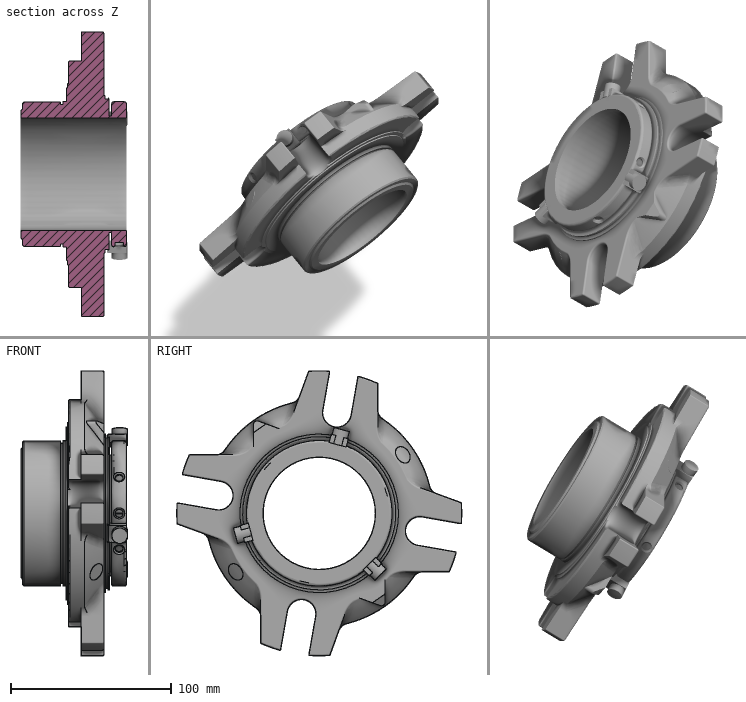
import cadquery as cq
import math


bore_dia = 69.9
sleeve_dia = 73.0
nose_tip_dia = 79.6
nose_base_dia = 82.1
spigot_dia = 90.5
spigot_groove_dia = 87.5
spigot_root_dia = 90.8
nose_length = 1.0
spigot_chamfer = 0.9
groove_start_x = 24.9
groove_end_x = 26.3

gasket_dia = 108.0
gasket_x = 28.3
gasket_rim_dia = 113.5
gasket_rim_x = 29.0

flange_dia = 141.9
flange_x = 29.7
flange_edge_radius = 1.0
cone_start_x = 39.8
gland_back_x = 52.0

back_step_dia = 98.8
back_step_x = 52.8
hub_dia = 94.0
snap_ring_dia = 95.5
snap_ring_x = 54.4
snap_ring_end_x = 55.3

lug_front_x = 37.7
lug_tip_radius = 88.9
lug_side_taper = 10.0
lug_half_width = 24.9
lug_width_radius = 69.3
lug_inner_radius = 48.9
lug_edge_radius = 1.0
lug_corner_radius = 0.7
lug_root_radius = 6.4
slot_width = 17.8
slot_bottom_radius = 54.8
slot_angles = [80, 170, 260, 350]

plug_x = 47.1
plug_dia = 11.2
plug_angles = [35, 215]
plug_depth = 3.5

boss_angles = [125, 305]
boss_nose_centre = 67.5
boss_nose_radius = 2.3
boss_half_angle = 35.0
boss_base_radius = 56.9
label_start_x = 46.8

collar_dia = 90.8
collar_x = 56.5
collar_end_x = 66.0
collar_edge_radius = 1.6

clip_angles = [75, 195, 315]
clip_x = 53.9
clip_width = 11.0
clip_inner_radius = 44.3
clip_outer_radius = 49.6
clip_chamfer = 0.7
screw_head_dia = 10.0
screw_head_radius = 54.0
screw_x = 61.7

set_screw_angles = [30, 90, 150, 210, 270, 330]
slotted_screw_angle = 180
set_screw_x = 61.3
set_screw_dia = 5.0
countersink_dia = 7.1
set_screw_depth = 2.1
driver_slot_width = 0.7
driver_slot_depth = 0.7

tolerance = 0.09


def turned(points):
    """Solid of revolution about X from (x, radius) points."""
    return cq.Workplane("XY").polyline(points).close().revolve(360, (0, 0, 0), (1, 0, 0))


def disc(start_x, end_x, diameter):
    return cq.Workplane("YZ", origin=(start_x, 0, 0)).circle(diameter / 2).extrude(end_x - start_x)


def around(shape, angles):
    """Copies of a shape built at angle 0 (+Y), turned about X to each angle."""
    copies = cq.Workplane("YZ")
    for angle in angles:
        copies = copies.add(shape.rotate((0, 0, 0), (1, 0, 0), angle))
    return copies.combine()


def bolt_slot():
    end_centre = slot_bottom_radius + slot_width / 2
    length = lug_tip_radius
    sketch = cq.Workplane("YZ").center(end_centre + length / 2, 0)
    return sketch.slot2D(length + slot_width, slot_width).extrude(collar_end_x)


def half_width_at(radius):
    return lug_half_width - (radius - lug_width_radius) * math.tan(math.radians(lug_side_taper))


def lug_block():
    """Tapered block with an arc tip; the slot later splits it into two lugs."""
    reach = lug_tip_radius + 1.8
    inner = half_width_at(lug_inner_radius)
    outer = half_width_at(reach)
    outline = [(lug_inner_radius, -inner), (reach, -outer), (reach, outer), (lug_inner_radius, inner)]
    block = cq.Workplane("YZ", origin=(lug_front_x, 0, 0)).polyline(outline).close()
    block = block.extrude(gland_back_x - lug_front_x)
    return block.intersect(disc(lug_front_x, gland_back_x, 2 * lug_tip_radius))


def radius_of(edge):
    middle = edge.positionAt(0.5)
    return math.hypot(middle.y, middle.z)


def is_lug_root(edge):
    """True for edges where a lug side rises from the flange rim or the cone."""
    x = edge.positionAt(0.5).x
    surface_radius = flange_dia / 2 - max(0, x - cone_start_x)
    between_ends = lug_front_x + tolerance < x < gland_back_x - tolerance
    on_surface = abs(radius_of(edge) - surface_radius) < tolerance
    return between_ends and on_surface and edge.geomType() != "CIRCLE"


def is_lug_corner(edge):
    return radius_of(edge) > lug_tip_radius - tolerance


def gland():
    rim = flange_dia / 2
    back = rim - (gland_back_x - cone_start_x)
    body = turned([(flange_x, 0), (flange_x, rim), (cone_start_x, rim), (gland_back_x, back), (gland_back_x, 0)])
    body = body.union(around(lug_block(), slot_angles))
    body = body.edges().filter(is_lug_root).fillet(lug_root_radius)
    slots = around(bolt_slot(), slot_angles)
    body = body.cut(slots)
    body = body.edges("|X").filter(is_lug_corner).fillet(lug_corner_radius)
    body = body.faces("<X").edges().fillet(flange_edge_radius)
    body = body.faces(">X").edges("%LINE").fillet(lug_edge_radius)
    gasket = disc(gasket_x, flange_x, gasket_dia)
    gasket = gasket.union(disc(gasket_rim_x, flange_x + flange_edge_radius, gasket_rim_dia))
    return body.union(gasket.cut(slots))


def back_steps():
    step = disc(gland_back_x, back_step_x, back_step_dia)
    hub = disc(gland_back_x, snap_ring_end_x, hub_dia)
    return step.union(hub).union(disc(snap_ring_x, snap_ring_end_x, snap_ring_dia))


def sleeve():
    """Spigot at the front joined to the thin sleeve that carries the collar."""
    spigot = turned([
        (0, 0),
        (0, nose_tip_dia / 2),
        (nose_length, nose_base_dia / 2),
        (nose_length, spigot_dia / 2 - spigot_chamfer),
        (nose_length + spigot_chamfer, spigot_dia / 2),
        (groove_start_x, spigot_dia / 2),
        (groove_start_x, spigot_groove_dia / 2),
        (groove_end_x, spigot_groove_dia / 2),
        (groove_end_x, spigot_root_dia / 2),
        (gasket_x, spigot_root_dia / 2),
        (gasket_x, 0),
    ])
    return spigot.union(disc(gasket_x, collar_end_x, sleeve_dia))


def set_screw_hole():
    """Countersunk blind hole drilled inward from the collar rim at angle 0."""
    rim = collar_dia / 2
    sink_depth = (countersink_dia - set_screw_dia) / 2
    profile = [
        (0, rim - set_screw_depth),
        (set_screw_dia / 2, rim - set_screw_depth),
        (set_screw_dia / 2, rim - sink_depth),
        (countersink_dia / 2, rim),
        (countersink_dia / 2, rim + 1.8),
        (0, rim + 1.8),
    ]
    hole = cq.Workplane("XY").polyline(profile).close().revolve(360, (0, 0, 0), (0, 1, 0))
    return hole.translate((set_screw_x, 0, 0))


def driver_slot():
    slot = cq.Workplane("XY").box(set_screw_dia, driver_slot_depth, driver_slot_width)
    floor_radius = collar_dia / 2 - set_screw_depth
    return slot.translate((set_screw_x, floor_radius - driver_slot_depth / 2, 0))


def collar():
    ring = disc(collar_x, collar_end_x, collar_dia).edges().fillet(collar_edge_radius)
    ring = ring.cut(around(set_screw_hole(), set_screw_angles + [slotted_screw_angle]))
    return ring.cut(driver_slot().rotate((0, 0, 0), (1, 0, 0), slotted_screw_angle))


def setting_clip():
    """Clip block bridging the gland and the collar, with its screw head."""
    height = clip_outer_radius - clip_inner_radius
    block = cq.Workplane("XY").box(collar_end_x - clip_x, height, clip_width)
    block = block.translate(((collar_end_x + clip_x) / 2, clip_inner_radius + height / 2, 0))
    block = block.edges("<X and >Y").chamfer(clip_chamfer)
    head = cq.Workplane("XZ", origin=(screw_x, clip_inner_radius, 0)).circle(screw_head_dia / 2)
    return block.union(head.extrude(clip_inner_radius - screw_head_radius))


def on_cone(shape, angle):
    """Place a shape built on XY so that +Z leaves the cone squarely and +X runs up its slope."""
    radius = flange_dia / 2 - (plug_x - cone_start_x)
    shape = shape.rotate((0, 0, 0), (0, 0, 1), 180).rotate((0, 0, 0), (0, 1, 0), 45)
    return shape.translate((plug_x, 0, radius)).rotate((0, 0, 0), (1, 0, 0), angle - 90)


def port_plug():
    return cq.Workplane("XY").circle(plug_dia / 2).extrude(-plug_depth)


def label_boss():
    """Wedge with a rounded outer ridge along X and a sloped label face behind, pointing along +Y."""
    ridge_radius = boss_nose_centre + boss_nose_radius
    half_angle = math.radians(boss_half_angle)
    apex = boss_nose_centre + boss_nose_radius / math.sin(half_angle)
    half_base = (apex - boss_base_radius) * math.tan(half_angle)
    length = gland_back_x - cone_start_x
    wedge = cq.Workplane("YZ", origin=(cone_start_x, 0, 0))
    wedge = wedge.polyline([(apex, 0), (boss_base_radius, half_base), (boss_base_radius, -half_base)])
    wedge = wedge.close().extrude(length).edges("|X and >Y").fillet(boss_nose_radius)
    side = [
        (cone_start_x, boss_base_radius),
        (cone_start_x, ridge_radius),
        (label_start_x, ridge_radius),
        (gland_back_x, ridge_radius - (gland_back_x - label_start_x)),
        (gland_back_x, boss_base_radius),
    ]
    return wedge.intersect(cq.Workplane("XY").polyline(side).close().extrude(half_base, both=True))


def assemble():
    part = gland().union(back_steps()).union(sleeve()).union(collar())
    part = part.union(around(setting_clip(), clip_angles))
    for angle in plug_angles:
        part = part.union(on_cone(port_plug(), angle))
    part = part.union(around(label_boss(), boss_angles))
    return part.cut(disc(0, collar_end_x, bore_dia))


result = assemble()